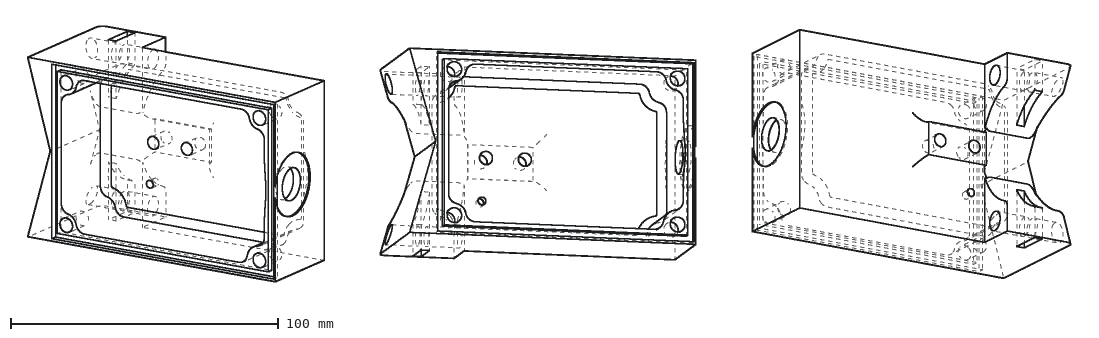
import cadquery as cq
import math

LENGTH = 110.0
HEIGHT = 70.0
BODY_DEPTH = 34.0
TOTAL_DEPTH = 50.3
NOTCH_DEPTH = 10.0

RIM_CENTER_X = 60.1
GROOVE_LENGTH = 98.6
GROOVE_HEIGHT = 68.0
GROOVE_WIDTH = 2.4
GROOVE_DEPTH = 2.5

SCREW_SPACING_X = 85.8
SCREW_SPACING_Z = 55.4
SCREW_DIAMETER = 5.6
SCREW_DEPTH = 11.0
BOSS_RADIUS = 4.5
LARGE_BOSS_RADIUS = 5.5
BOSS_INSET = 2.2
FLOOR_THICKNESS = 4.0
CAVITY_LENGTH = SCREW_SPACING_X + 2 * BOSS_INSET
CAVITY_HEIGHT = SCREW_SPACING_Z + 2 * BOSS_INSET
CAVITY_DEPTH = BODY_DEPTH - FLOOR_THICKNESS
CAVITY_FILLET = 3.7
FLOOR_CHAMFER = 3.0

EAR_LENGTH = 29.0
EAR_ROUNDING = 3.0
EDGE_MARGIN = 1.1
SADDLE_RADIUS = 23.9
SADDLE_CENTER_Y = 56.1
EAR_HOLE_DIAMETER = 7.5
EAR_HOLE_Y = 41.4
EAR_HOLE_SPACING = 57.2
SLOT_WIDTH = 3.3
SLOT_CENTER_X = 14.5
SLOT_START_Y = 35.9
SLOT_END_Y = 48.8

PAD_CENTER_X = 44.0
PAD_LENGTH = 25.1
PAD_HEIGHT = 13.0
PAD_FLARE = 5.0
PAD_HOLE_DIAMETER = 5.0
PAD_HOLE_SPACING = 15.0
SMALL_HOLE_DIAMETER = 3.0
SMALL_HOLE_X = 35.0
SMALL_HOLE_Z = -16.4

PORT_DIAMETER = 12.5
PORT_Y = 12.0
PORT_SEAT_RADIUS = 10.1
PORT_DISH_RADIUS = 17.6
PORT_DISH_DEPTH = 1.2
PORT_RECESS_RADIUS = 12.2
PORT_RECESS_DEPTH = 0.5


def box(x_start, x_end, y_start, y_end, height):
    """Block between the given X and Y limits, centred on Z = 0."""
    return cq.Workplane("XY").box(
        x_end - x_start, y_end - y_start, height, centered=(False, False, True)
    ).translate((x_start, y_start, 0))


def centered_rim_box(length, height, depth):
    """Block sunk from the front face, centred on the rim."""
    return box(RIM_CENTER_X - length / 2, RIM_CENTER_X + length / 2, 0, depth, height)


def cylinder_y(x, z, radius, y_start, y_end):
    return cq.Workplane("XZ", origin=(x, y_start, z)).circle(radius).extrude(y_start - y_end)


def cylinder_x(y, z, radius, x_start, x_end):
    return cq.Workplane("YZ", origin=(x_start, y, z)).circle(radius).extrude(x_end - x_start)


def notched_block(x_end, y_start, y_end):
    """Block whose left end is cut by the V notch."""
    return (
        cq.Workplane("XZ", origin=(0, y_start, 0))
        .moveTo(0, HEIGHT / 2)
        .lineTo(x_end, HEIGHT / 2)
        .lineTo(x_end, -HEIGHT / 2)
        .lineTo(0, -HEIGHT / 2)
        .lineTo(NOTCH_DEPTH, 0)
        .close()
        .extrude(y_start - y_end)
    )


def bosses():
    """X, Z and radius of each corner screw boss."""
    for side_x in (-1, 1):
        for side_z in (-1, 1):
            x = RIM_CENTER_X + side_x * SCREW_SPACING_X / 2
            z = side_z * SCREW_SPACING_Z / 2
            is_lower_right = side_x > 0 and side_z < 0
            yield x, z, LARGE_BOSS_RADIUS if is_lower_right else BOSS_RADIUS


def ears():
    """Two ears left over after the saddle is cut, with rounded left, back and saddle edges."""
    block = notched_block(EAR_LENGTH, BODY_DEPTH, TOTAL_DEPTH)
    block = block.cut(cylinder_x(SADDLE_CENTER_Y, 0, SADDLE_RADIUS, 0, EAR_LENGTH))
    rounded_edges = cq.selectors.BoxSelector(
        (-EDGE_MARGIN, BODY_DEPTH + EDGE_MARGIN, EDGE_MARGIN - HEIGHT / 2),
        (EAR_LENGTH - EDGE_MARGIN, TOTAL_DEPTH + EDGE_MARGIN, HEIGHT / 2 - EDGE_MARGIN),
    )
    block = block.edges(rounded_edges).fillet(EAR_ROUNDING)
    for side in (-1, 1):
        block = block.cut(
            cylinder_x(EAR_HOLE_Y, side * EAR_HOLE_SPACING / 2, EAR_HOLE_DIAMETER / 2, 0, EAR_LENGTH)
        )
    slot = box(
        SLOT_CENTER_X - SLOT_WIDTH / 2, SLOT_CENTER_X + SLOT_WIDTH / 2, SLOT_START_Y, SLOT_END_Y, HEIGHT
    )
    return block.cut(slot)


def flared_strip(plane, width, length):
    """Strip standing on the back wall whose two long sides flare out in quarter circles."""
    top = width / 2
    foot = top + PAD_FLARE
    middle = foot - PAD_FLARE * math.sin(math.pi / 4)
    rise = PAD_FLARE * (1 - math.cos(math.pi / 4))
    return (
        cq.Workplane(plane)
        .moveTo(-foot, 0)
        .threePointArc((-middle, rise), (-top, PAD_FLARE))
        .lineTo(top, PAD_FLARE)
        .threePointArc((middle, rise), (foot, 0))
        .close()
        .extrude(length / 2 + PAD_FLARE, both=True)
    )


def pad():
    """Raised rectangular pad; its four sides flare into the back wall."""
    origin = (PAD_CENTER_X, BODY_DEPTH, 0)
    along_x = flared_strip(cq.Plane(origin, (1, 0, 0), (0, 0, 1)), PAD_LENGTH, PAD_HEIGHT)
    along_z = flared_strip(cq.Plane(origin, (0, 0, 1), (-1, 0, 0)), PAD_HEIGHT, PAD_LENGTH)
    return along_x.intersect(along_z)


def cavity():
    """Hollow with four screw bosses left standing and a chamfer around the floor."""
    hollow = centered_rim_box(CAVITY_LENGTH, CAVITY_HEIGHT, CAVITY_DEPTH)
    for x, z, radius in bosses():
        hollow = hollow.cut(cylinder_y(x, z, radius, 0, CAVITY_DEPTH))
    hollow = hollow.edges("|Y").fillet(CAVITY_FILLET)
    return hollow.faces(">Y").edges().chamfer(FLOOR_CHAMFER)


def port():
    """Connector hole with a dished seat inside and a shallow round recess outside."""
    wall_x = RIM_CENTER_X + CAVITY_LENGTH / 2
    seat_x = wall_x + PORT_DISH_DEPTH
    span = PORT_DISH_RADIUS - PORT_SEAT_RADIUS
    curve_radius = (span ** 2 + PORT_DISH_DEPTH ** 2) / (2 * PORT_DISH_DEPTH)
    mid_drop = curve_radius - math.sqrt(curve_radius ** 2 - (span / 2) ** 2)
    dish = (
        cq.Workplane("XY", origin=(0, PORT_Y, 0))
        .moveTo(wall_x, 0)
        .lineTo(wall_x, -PORT_DISH_RADIUS)
        .threePointArc((wall_x + mid_drop, span / 2 - PORT_DISH_RADIUS), (seat_x, -PORT_SEAT_RADIUS))
        .lineTo(seat_x, 0)
        .close()
        .revolve(360, (0, 0, 0), (1, 0, 0))
    )
    hole = cylinder_x(PORT_Y, 0, PORT_DIAMETER / 2, wall_x, LENGTH)
    recess = cylinder_x(PORT_Y, 0, PORT_RECESS_RADIUS, LENGTH - PORT_RECESS_DEPTH, LENGTH)
    return dish, hole, recess


result = notched_block(LENGTH, 0, BODY_DEPTH).union(ears()).union(pad())

groove = centered_rim_box(GROOVE_LENGTH, GROOVE_HEIGHT, GROOVE_DEPTH).cut(
    centered_rim_box(GROOVE_LENGTH - 2 * GROOVE_WIDTH, GROOVE_HEIGHT - 2 * GROOVE_WIDTH, GROOVE_DEPTH)
)
result = result.cut(groove).cut(cavity())

for x, z, _ in bosses():
    result = result.cut(cylinder_y(x, z, SCREW_DIAMETER / 2, 0, SCREW_DEPTH))

for side in (-1, 1):
    hole_x = PAD_CENTER_X + side * PAD_HOLE_SPACING / 2
    result = result.cut(cylinder_y(hole_x, 0, PAD_HOLE_DIAMETER / 2, 0, TOTAL_DEPTH))
result = result.cut(cylinder_y(SMALL_HOLE_X, SMALL_HOLE_Z, SMALL_HOLE_DIAMETER / 2, 0, TOTAL_DEPTH))

for tool in port():
    result = result.cut(tool)